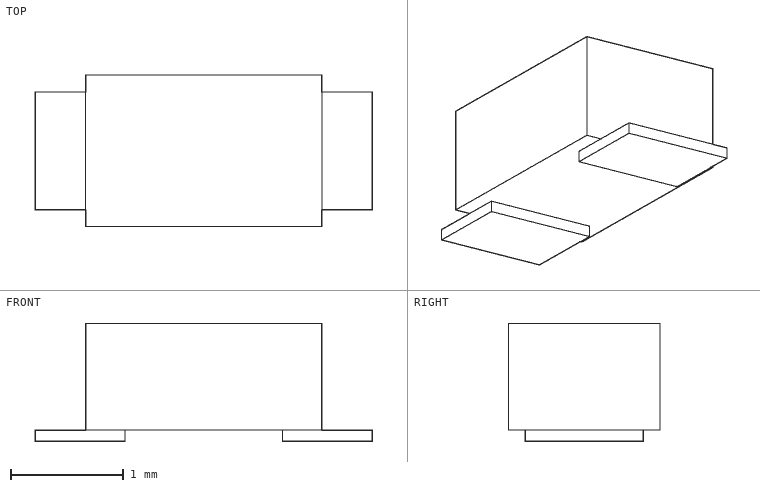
import cadquery as cq

overall_length = 3.0
overall_height = 1.05

housing_length = 2.1
housing_width = 1.35

terminal_length = 0.8
terminal_width = 1.05
terminal_thickness = 0.1

housing_height = overall_height - terminal_thickness
terminal_center_x = (overall_length - terminal_length) / 2


def make_housing():
    """Plain block resting on top of the terminals."""
    return (
        cq.Workplane("XY")
        .workplane(offset=terminal_thickness)
        .rect(housing_length, housing_width)
        .extrude(housing_height)
    )


def make_terminal(center_x):
    """Flat plate on the Z = 0 plane, centred at the given X."""
    return (
        cq.Workplane("XY")
        .center(center_x, 0)
        .rect(terminal_length, terminal_width)
        .extrude(terminal_thickness)
    )


housing = make_housing()
terminals = [make_terminal(side * terminal_center_x) for side in (-1, 1)]

result = cq.Compound.makeCompound(
    [housing.val(), *[terminal.val() for terminal in terminals]]
)